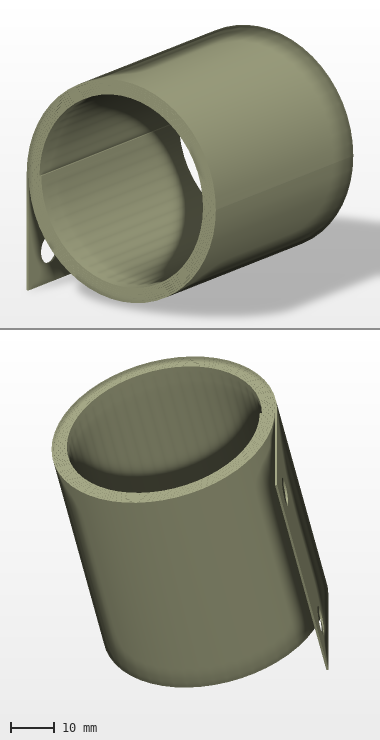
import cadquery as cq

strip_width = 55.0
strip_thickness = 0.5
layer_gap = 0.02
turns = 7
outer_diameter = 53.1
overall_height = 54.5
hole_diameter = 6.7
hole_spacing = 38.15
hole_height = 8.0

layer_pitch = strip_thickness + layer_gap
outer_radius = outer_diameter / 2
tail_length = overall_height - outer_radius


def turn_points(start_radius, turn):
    """Points of one turn, left to left: upper half circle, then lower half.

    Upper halves are centred on the axis; lower halves shift by half a pitch
    so that they meet the next, smaller upper half tangentially.
    """
    radius = start_radius - turn * layer_pitch
    next_radius = radius - layer_pitch
    lower_radius = (radius + next_radius) / 2
    lower_centre = (radius - next_radius) / 2
    left = (-radius, 0)
    top = (0, radius)
    right = (radius, 0)
    bottom = (lower_centre, -lower_radius)
    next_left = (-next_radius, 0)
    return left, top, right, bottom, next_left


def coil_inward(wire, start_radius):
    """Trace one face of the strip from the tail to its inner end."""
    for turn in range(turns):
        _, top, right, bottom, next_left = turn_points(start_radius, turn)
        wire = wire.threePointArc(top, right)
        wire = wire.threePointArc(bottom, next_left)
    return wire


def coil_outward(wire, start_radius):
    """Trace one face of the strip from its inner end back to the tail."""
    for turn in reversed(range(turns)):
        left, top, right, bottom, _ = turn_points(start_radius, turn)
        wire = wire.threePointArc(bottom, right)
        wire = wire.threePointArc(top, left)
    return wire


def wound_strip():
    """Coiled strip with its flat tail, centred on Y."""
    inner_radius = outer_radius - strip_thickness
    inner_end = inner_radius - turns * layer_pitch
    wire = cq.Workplane("XZ").moveTo(-outer_radius, -tail_length).lineTo(-outer_radius, 0)
    wire = coil_inward(wire, outer_radius)
    wire = wire.lineTo(-inner_end, 0)
    wire = coil_outward(wire, inner_radius)
    wire = wire.lineTo(-inner_radius, -tail_length).close()
    return wire.extrude(strip_width / 2, both=True)


def tail_holes():
    """Cutters for the two mounting holes, reaching through the tail only."""
    return (
        cq.Workplane("YZ", origin=(-outer_radius, 0, hole_height - tail_length))
        .pushPoints([(-hole_spacing / 2, 0), (hole_spacing / 2, 0)])
        .circle(hole_diameter / 2)
        .extrude(strip_thickness)
    )


result = wound_strip().cut(tail_holes())